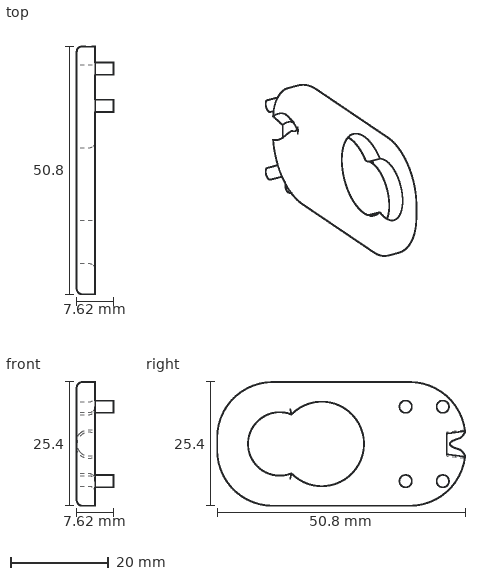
import cadquery as cq
import math

plate_thickness = 3.81
plate_length = 50.88
plate_width = 25.4
end_flat = 2.54
corner_radius = (plate_width - end_flat) / 2
front_edge_radius = 1.27

large_hole_diameter = 17.27
large_hole_y = -4.0
small_hole_diameter = 12.95
small_hole_y = -12.6
hole_back_edge_radius = 1.27

pin_diameter = 2.54
pin_length = 3.81
pin_pitch_y = 7.62
pin_pitch_z = 15.24
outer_pin_inset = 4.65
outer_pin_y = plate_length / 2 - outer_pin_inset
pin_ys = (outer_pin_y, outer_pin_y - pin_pitch_y)
pin_zs = (pin_pitch_z / 2, -pin_pitch_z / 2)

channel_axis_x = 2.54
channel_half_angle = 7.0
channel_depth = 3.81
notch_depth = 3.2
channel_overrun = 1.0


def make_plate():
    """Rounded rectangle with its front (-X) rim rounded over."""
    plate = cq.Workplane("YZ").rect(plate_length, plate_width).extrude(plate_thickness)
    plate = plate.edges("|X").fillet(corner_radius)
    return plate.faces("<X").edges().fillet(front_edge_radius)


def round_hole(diameter, y):
    """Cylinder through the plate thickness, centred on the long axis."""
    return cq.Workplane("YZ").center(y, 0).circle(diameter / 2).extrude(plate_thickness)


def cut_keyhole(plate):
    """Cut both round holes and round over their shared rim on the back (+X) face."""
    large_hole = round_hole(large_hole_diameter, large_hole_y)
    small_hole = round_hole(small_hole_diameter, small_hole_y)
    plate = plate.cut(large_hole.union(small_hole))
    back_wires = plate.faces(">X").wires().objects
    hole_rim = min(back_wires, key=lambda wire: wire.Length())
    return plate.newObject(hole_rim.Edges()).fillet(hole_back_edge_radius)


def make_channel():
    """Cone widening toward +Y whose wall just meets the front face at the notch tip."""
    slope = math.tan(math.radians(channel_half_angle))
    inner_radius = channel_axis_x - slope * (channel_depth - notch_depth)
    length = channel_depth + channel_overrun
    outer_radius = inner_radius + slope * length
    inner_end = cq.Vector(channel_axis_x, plate_length / 2 - channel_depth, 0)
    cone = cq.Solid.makeCone(inner_radius, outer_radius, length, inner_end, cq.Vector(0, 1, 0))
    return cq.Workplane(cone)


def make_pins():
    """Round pins standing on the back (+X) face."""
    centres = [(y, z) for y in pin_ys for z in pin_zs]
    return (
        cq.Workplane("YZ", origin=(plate_thickness, 0, 0))
        .pushPoints(centres)
        .circle(pin_diameter / 2)
        .extrude(pin_length)
    )


result = cut_keyhole(make_plate()).cut(make_channel()).union(make_pins())